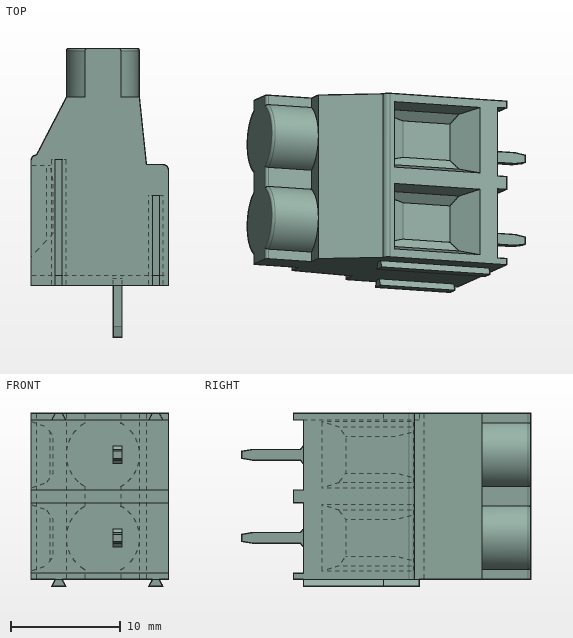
import cadquery as cq


width = 12.6
height = 15.2
pole_count = 2
pole_pitch = height / pole_count
pole_heights = [(pole + 0.5) * pole_pitch for pole in range(pole_count)]
entry_shoulder_y = 11.95
back_shoulder_y = 11.08
back_shoulder_x = 10.58
shoulder_radius = 0.5

tower_x = 6.59
tower_base_y = 17.25
tower_top_y = 21.72
tower_bar_width = 3.28
screw_boss_diameter = 6.7
tower_top_radius = 0.25

standoff = 0.9
lower_rib_height = 0.58
middle_rib_height = 1.2
upper_rib_height = 0.63

dovetail_depth = 0.63
dovetail_wide = 1.3
dovetail_narrow = 0.63
dovetail_rows = [(2.55, 11.53), (11.43, 8.23)]

funnel_depth = 2.04
funnel_near_y = 2.62
funnel_far_y = 11.0
funnel_floor_near_y = 4.8
funnel_floor_far_y = 9.42
funnel_far_slope_depth = 1.75
funnel_mouth_height = 6.08
funnel_break_depth = 1.43
funnel_break_height = 5.1
funnel_floor_height = 3.39

pin_x = 7.94
pin_thickness = 0.82
pin_height = 1.0
pin_length = 4.73
pin_root_height = 1.65
pin_root_length = 0.26
pin_tip_height = 0.65
pin_tip_length = 1.0


def mirrored_profile(plane, center, half_profile):
    """Close a profile given as (position, height) pairs about a centre height."""
    upper = [(position, center + size / 2) for position, size in half_profile]
    lower = [(position, center - size / 2) for position, size in reversed(half_profile)]
    return cq.Workplane(plane).polyline(upper + lower).close()


def housing():
    boss_left = tower_x - screw_boss_diameter / 2
    boss_right = tower_x + screw_boss_diameter / 2
    body = (
        cq.Workplane("XY")
        .moveTo(0, 0)
        .lineTo(width, 0)
        .lineTo(width, back_shoulder_y - shoulder_radius)
        .radiusArc((width - shoulder_radius, back_shoulder_y), -shoulder_radius)
        .lineTo(back_shoulder_x, back_shoulder_y)
        .lineTo(boss_right, tower_base_y)
        .lineTo(boss_left, tower_base_y)
        .lineTo(shoulder_radius, entry_shoulder_y)
        .radiusArc((0, entry_shoulder_y - shoulder_radius), -shoulder_radius)
        .close()
        .extrude(height)
    )
    tower_height = tower_top_y - tower_base_y
    bar = (
        cq.Workplane("XY")
        .box(tower_bar_width, tower_height, height, centered=(True, False, False))
        .edges("|Z and >Y")
        .fillet(tower_top_radius)
    )
    body = body.union(bar.translate((tower_x, tower_base_y, 0)))
    boss = (
        cq.Workplane("XZ")
        .circle(screw_boss_diameter / 2)
        .extrude(-tower_height)
        .faces(">Y")
        .edges()
        .fillet(tower_top_radius)
    )
    for z in pole_heights:
        body = body.union(boss.translate((tower_x, tower_base_y, z)))
    return body


def board_recess(bottom, top):
    recess = cq.Workplane("XY").box(width, standoff, top - bottom, centered=False)
    return recess.translate((0, 0, bottom))


def dovetail(x, top, start_y, end_y):
    """Dovetail bar, narrow at its top, running along Y."""
    narrow = dovetail_narrow / 2
    wide = dovetail_wide / 2
    bottom = top - dovetail_depth
    outline = [(x - narrow, top), (x + narrow, top), (x + wide, bottom), (x - wide, bottom)]
    bar = cq.Workplane("XZ").polyline(outline).close().extrude(start_y - end_y)
    return bar.translate((0, start_y, 0))


def wire_funnel(z):
    """Funnel that is the overlap of its plan profile and its height profile."""
    plan = [
        (0, funnel_near_y),
        (0, funnel_far_y),
        (funnel_far_slope_depth, funnel_far_y),
        (funnel_depth, funnel_floor_far_y),
        (funnel_depth, funnel_floor_near_y),
    ]
    elevation = [
        (0, funnel_mouth_height),
        (funnel_break_depth, funnel_break_height),
        (funnel_depth, funnel_floor_height),
    ]
    plan_solid = cq.Workplane("XY").polyline(plan).close().extrude(height)
    elevation_solid = mirrored_profile("XZ", z, elevation).extrude(-funnel_far_y)
    return plan_solid.intersect(elevation_solid)


def solder_pin(z):
    profile = [
        (standoff, pin_root_height),
        (standoff - pin_root_length, pin_height),
        (pin_tip_length - pin_length, pin_height),
        (-pin_length, pin_tip_height),
    ]
    pin = mirrored_profile("YZ", z, profile).extrude(pin_thickness)
    return pin.translate((pin_x - pin_thickness / 2, 0, 0))


result = housing()

middle_rib_bottom = (height - middle_rib_height) / 2
middle_rib_top = (height + middle_rib_height) / 2
result = result.cut(board_recess(lower_rib_height, middle_rib_bottom))
result = result.cut(board_recess(middle_rib_top, height - upper_rib_height))

for row_x, row_end in dovetail_rows:
    result = result.cut(dovetail(row_x, height, 0, row_end))
    result = result.union(dovetail(row_x, 0, standoff, row_end))

for pole_z in pole_heights:
    result = result.cut(wire_funnel(pole_z))
    result = result.union(solder_pin(pole_z))